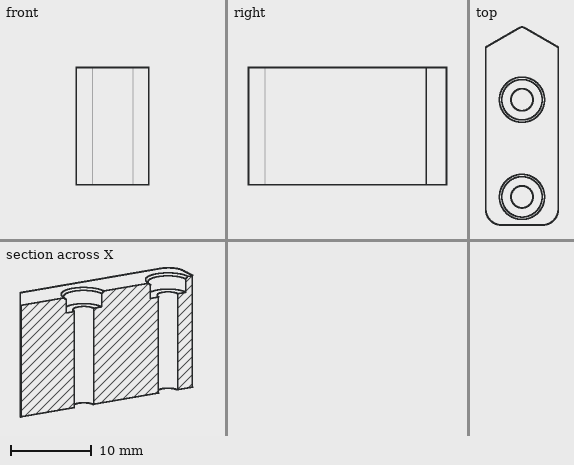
import cadquery as cq
import math

width = 9.0
length = 24.5
height = 14.5
corner_radius = 2.0
tip_radius = 0.61
tip_slope = math.radians(30)

hole_diameter = 2.7
counterbore_diameter = 5.0
counterbore_depth = 2.0
chamfer_size = 0.3
hole_spacing = 12.0
first_hole_y = 3.5

sharp_length = length + tip_radius * (1 / math.cos(tip_slope) - 1)
shoulder_y = sharp_length - width / 2 * math.tan(tip_slope)


def make_block():
    """Extrude the pointed outline and round its tip and rear corners."""
    outline = [
        (-width / 2, 0),
        (width / 2, 0),
        (width / 2, shoulder_y),
        (0, sharp_length),
        (-width / 2, shoulder_y),
    ]
    block = cq.Workplane("XY").polyline(outline).close().extrude(height)
    block = block.edges("|Z and >Y").fillet(tip_radius)
    return block.edges("|Z and <Y").fillet(corner_radius)


def make_screw_hole(y):
    """Through hole with a counterbore and a chamfered mouth at the top."""
    hole = cq.Workplane("XY").center(0, y).circle(hole_diameter / 2).extrude(height)
    counterbore = (
        cq.Workplane("XY", origin=(0, y, height - counterbore_depth))
        .circle(counterbore_diameter / 2)
        .extrude(counterbore_depth)
    )
    mouth = cq.Solid.makeCone(
        counterbore_diameter / 2,
        counterbore_diameter / 2 + chamfer_size,
        chamfer_size,
        pnt=cq.Vector(0, y, height - chamfer_size),
    )
    return hole.union(counterbore).union(cq.Workplane(mouth))


result = make_block()
for hole_y in (first_hole_y, first_hole_y + hole_spacing):
    result = result.cut(make_screw_hole(hole_y))